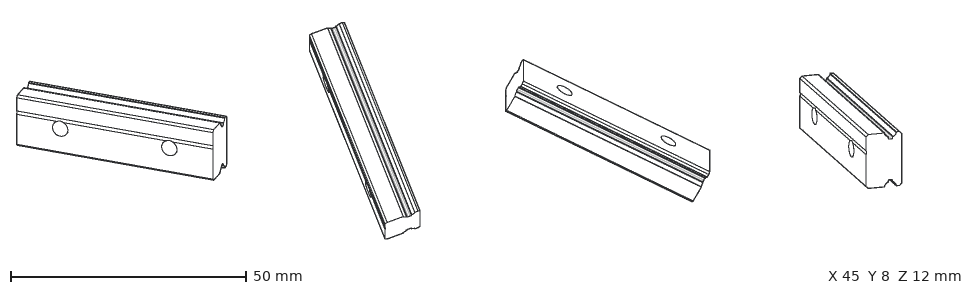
import cadquery as cq
import math

length = 45.0
width = 8.0
height = 12.0
edge_chamfer = 0.5

track_from_back = 2.5
track_width = 2.6
track_lip_depth = 0.2
flank_radius = 1.6
flank_centre_offset = 0.202
ledge_width = 0.15
slot_width = 1.0
slot_depth = 1.5
slot_corner_radius = 0.25

mark_from_top = 4.0
mark_width = 0.8
mark_depth = 0.158

hole_diameter = 3.5
hole_end_margin = 10.0

mid_height = height / 2
front_y = -width / 2
track_y = width / 2 - track_from_back


def rail_body():
    body = cq.Workplane("XY").box(length, width, height, centered=(True, True, False))
    return body.edges("|X").chamfer(edge_chamfer)


def top_track_cutter():
    """Track with two concave flanks, and its relief slot, cut into the top face."""
    outer_y = track_width / 2
    inner_y = slot_width / 2 + ledge_width
    middle_y = (outer_y + inner_y) / 2

    def arc_drop(y):
        """Drop of the flank from its arc centre at a distance y from the track's middle."""
        return math.sqrt(flank_radius**2 - (y + flank_centre_offset) ** 2)

    def flank_z(y):
        """Height of the flank relative to the top face."""
        return arc_drop(outer_y) - arc_drop(y) - track_lip_depth

    track = (
        cq.Workplane("YZ", origin=(-length / 2, track_y, height))
        .moveTo(-outer_y, 0)
        .lineTo(-outer_y, -track_lip_depth)
        .threePointArc((-middle_y, flank_z(middle_y)), (-inner_y, flank_z(inner_y)))
        .lineTo(inner_y, flank_z(inner_y))
        .threePointArc((middle_y, flank_z(middle_y)), (outer_y, -track_lip_depth))
        .lineTo(outer_y, 0)
        .close()
        .extrude(length)
    )
    slot = (
        cq.Workplane("XY", origin=(0, track_y, height - slot_depth))
        .box(length, slot_width, slot_depth, centered=(True, True, False))
        .edges("|X and <Z")
        .fillet(slot_corner_radius)
    )
    return track.union(slot)


def mark_groove_cutter():
    half_width = mark_width / 2
    return (
        cq.Workplane("YZ", origin=(-length / 2, front_y, height - mark_from_top))
        .moveTo(0, -half_width)
        .threePointArc((mark_depth, 0), (0, half_width))
        .close()
        .extrude(length)
    )


def hole_cutter():
    hole_x = length / 2 - hole_end_margin
    return (
        cq.Workplane("XZ", origin=(0, front_y, mid_height))
        .pushPoints([(-hole_x, 0), (hole_x, 0)])
        .circle(hole_diameter / 2)
        .extrude(-width)
    )


top_track = top_track_cutter()
bottom_track = top_track.mirror("XY", (0, 0, mid_height))

result = (
    rail_body()
    .cut(top_track)
    .cut(bottom_track)
    .cut(mark_groove_cutter())
    .cut(hole_cutter())
)